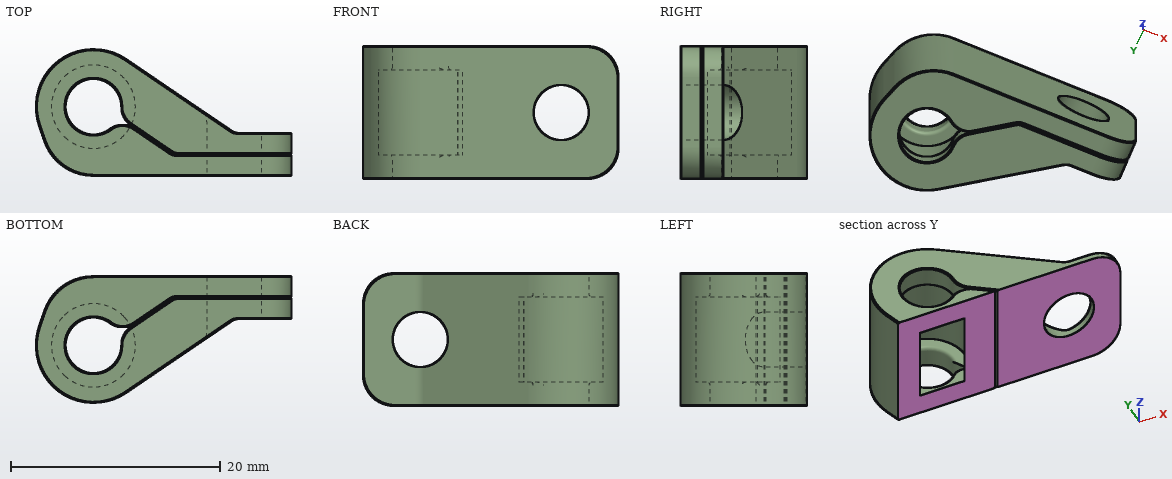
import math

import cadquery as cq

length = 24.43
height = 12.7
edge_chamfer = 0.1

head_radius = 5.5
heel_radius = 4.97
bore_radius = 2.66
bore_x = head_radius
bore_y = 6.61
relief_radius = 4.0
collar_height = 1.95
relief_rim_radius = 0.35

lug_thickness = 2.0
slot_width = 0.1
slope_angle = math.radians(34.2)
flank_fillet = 1.3
slot_bend_x = 13.15
slot_bend_radius = 1.0
lip_radius = 2.0
lug_corner_radius = 3.0
lug_top_y = 2 * lug_thickness + slot_width

screw_hole_diameter = 5.25
screw_hole_x = 18.95


def polar(center, radius, angle):
    """Point at a given radius and angle around a center."""
    return (center[0] + radius * math.cos(angle), center[1] + radius * math.sin(angle))


def prism(sketch):
    """Extrude a closed XY outline over the part height, centered on Z = 0."""
    return sketch.extrude(height / 2, both=True)


def round_corner(body, x, y, radius):
    """Fillet the Z-parallel edge nearest to (x, y)."""
    return body.edges("|Z").edges(cq.selectors.NearestToPointSelector((x, y, 0))).fillet(radius)


def make_body():
    """Teardrop outline: head arc, heel arc, flat base, lug end and sloping flank."""
    head = (bore_x, bore_y)
    heel = (bore_x, heel_radius)
    flank_normal = math.pi / 2 - slope_angle
    tilt = math.asin((head_radius - heel_radius) / (bore_y - heel_radius))
    back_normal = math.pi + tilt

    flank_start = polar(head, head_radius, flank_normal)
    flank_end_x = flank_start[0] + (flank_start[1] - lug_top_y) / math.tan(slope_angle)
    head_mid = polar(head, head_radius, (flank_normal + back_normal) / 2)
    head_end = polar(head, head_radius, back_normal)
    heel_start = polar(heel, heel_radius, back_normal)
    heel_mid = polar(heel, heel_radius, (back_normal + 1.5 * math.pi) / 2)

    outline = (
        cq.Workplane("XY")
        .moveTo(*flank_start)
        .threePointArc(head_mid, head_end)
        .lineTo(*heel_start)
        .threePointArc(heel_mid, (bore_x, 0))
        .lineTo(length, 0)
        .lineTo(length, lug_top_y)
        .lineTo(flank_end_x, lug_top_y)
        .close()
    )
    return round_corner(prism(outline), flank_end_x, lug_top_y, flank_fillet)


def make_slot():
    """Thin bent slot from inside the bore to beyond the lug tips."""
    slot_bottom = lug_thickness
    slot_top = lug_thickness + slot_width
    miter_shift = slot_width * math.tan(slope_angle / 2)
    lower_bend = (slot_bend_x, slot_bottom)
    upper_bend = (slot_bend_x + miter_shift, slot_top)
    slot_start_x = bore_x + bore_radius / 2
    slant_length = (slot_bend_x - slot_start_x) / math.cos(slope_angle)
    up_slope = math.pi - slope_angle

    outline = (
        cq.Workplane("XY")
        .moveTo(*lower_bend)
        .lineTo(length + slot_width, slot_bottom)
        .lineTo(length + slot_width, slot_top)
        .lineTo(*upper_bend)
        .lineTo(*polar(upper_bend, slant_length, up_slope))
        .lineTo(*polar(lower_bend, slant_length, up_slope))
        .close()
    )
    slot = round_corner(prism(outline), *upper_bend, slot_bend_radius)
    return round_corner(slot, *lower_bend, slot_bend_radius + slot_width)


def round_lips(body):
    """Round both corners where the slot walls break into the bore."""
    wall_offset = (
        (slot_bend_x - bore_x) * math.sin(slope_angle)
        + (lug_thickness - bore_y) * math.cos(slope_angle)
    )
    wall_normal = math.pi / 2 - slope_angle
    for offset in (wall_offset, wall_offset + slot_width):
        angle = wall_normal - math.acos(offset / bore_radius)
        lip = polar((bore_x, bore_y), bore_radius, angle)
        body = round_corner(body, *lip, lip_radius)
    return body


def make_relief():
    """Disc that widens the middle of the bore, with rounded rims where it meets the collars."""
    half_height = height / 2 - collar_height - relief_rim_radius
    rim_half_height = half_height + relief_rim_radius
    rim_radius = bore_radius + relief_rim_radius
    rim_mid = polar((rim_radius, rim_half_height), relief_rim_radius, 1.25 * math.pi)
    profile = (
        cq.Workplane("XZ")
        .moveTo(0, -rim_half_height)
        .lineTo(bore_radius, -rim_half_height)
        .threePointArc((rim_mid[0], -rim_mid[1]), (rim_radius, -half_height))
        .lineTo(relief_radius, -half_height)
        .lineTo(relief_radius, half_height)
        .lineTo(rim_radius, half_height)
        .threePointArc(rim_mid, (bore_radius, rim_half_height))
        .lineTo(0, rim_half_height)
        .close()
    )
    return profile.revolve().translate((bore_x, bore_y, 0))


def make_screw_hole():
    """Cylinder along Y through both lugs and the foot of the sloping flank."""
    return (
        cq.Workplane("XZ")
        .center(screw_hole_x, 0)
        .circle(screw_hole_diameter / 2)
        .extrude(-(bore_y + head_radius))
    )


bore = prism(cq.Workplane("XY").center(bore_x, bore_y).circle(bore_radius))
clamp = round_lips(make_body().cut(bore).cut(make_slot()))
clamp = clamp.faces(">X").edges("|Y").fillet(lug_corner_radius)
clamp = clamp.faces(">Z or <Z or >X").edges("not |Y").chamfer(edge_chamfer)
result = clamp.cut(make_relief()).cut(make_screw_hole())